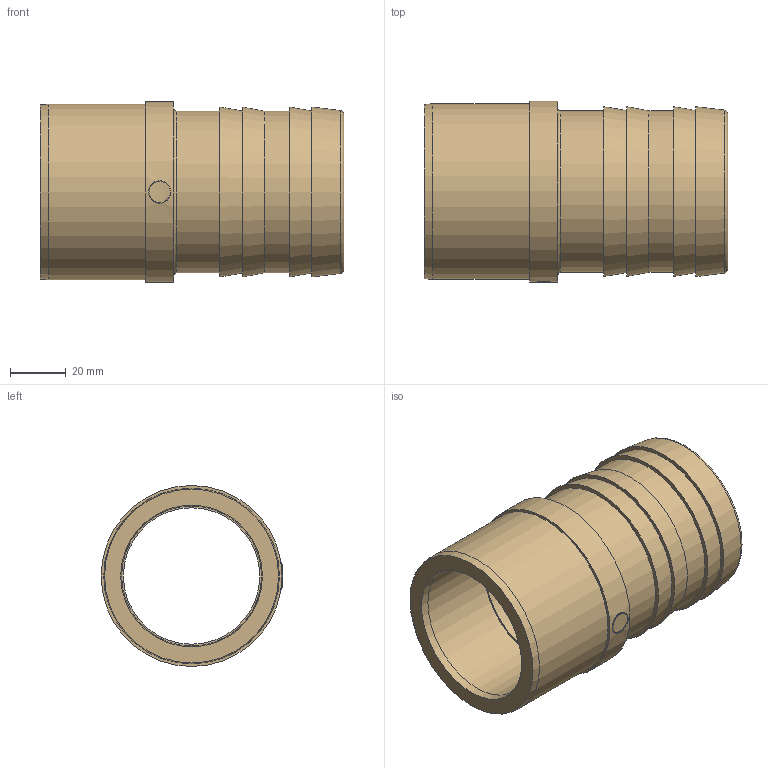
import cadquery as cq
import math

total_length = 109.0

spigot_radius = 63.1 / 2
lead_in_length = 3.0
lead_in_depth = 0.3
spigot_tip_radius = spigot_radius - lead_in_depth

spigot_bore_radius = 50.3 / 2
tail_bore_radius = 49.0 / 2
bore_mouth_radius = spigot_bore_radius + lead_in_depth
bore_step_x = 31.5

collar_start = 37.8
collar_end = 48.0
collar_radius = 65.0 / 2
collar_root_fillet = 1.0

tail_radius = 58.0 / 2
barb_crest_radius = 61.0 / 2
barb_foot_radius = 58.2 / 2
first_barb_start = 64.5
second_barb_start = 72.7
second_barb_end = 80.7
third_barb_start = 89.6
last_barb_start = 97.6
tail_end_fillet = 1.5

rim_outer_diameter = 8.0
rim_inner_diameter = 7.68
rim_height = 0.3
rim_x = (collar_start + collar_end) / 2
rim_embed = 0.5


def make_outside():
    """Solid of revolution about X with the full outer outline."""
    root_fillet_inset = collar_root_fillet * (1 - math.sqrt(0.5))
    root_fillet_end = collar_end + collar_root_fillet
    fillet_top = (collar_end, tail_radius + collar_root_fillet)
    fillet_middle = (collar_end + root_fillet_inset, tail_radius + root_fillet_inset)
    fillet_foot = (root_fillet_end, tail_radius)

    outline = (
        cq.Workplane("XY")
        .moveTo(0, 0)
        .lineTo(0, spigot_tip_radius)
        .lineTo(lead_in_length, spigot_radius)
        .lineTo(collar_start, spigot_radius)
        .lineTo(collar_start, collar_radius)
        .lineTo(collar_end, collar_radius)
        .lineTo(*fillet_top)
        .threePointArc(fillet_middle, fillet_foot)
    )
    barbs = [
        (first_barb_start, second_barb_start, barb_foot_radius),
        (second_barb_start, second_barb_end, tail_radius),
        (third_barb_start, last_barb_start, barb_foot_radius),
        (last_barb_start, total_length, barb_foot_radius),
    ]
    outline_x = root_fillet_end
    for start, end, foot_radius in barbs:
        if start > outline_x:
            outline = outline.lineTo(start, tail_radius)
        outline = outline.lineTo(start, barb_crest_radius).lineTo(end, foot_radius)
        outline_x = end

    body = outline.lineTo(total_length, 0).close().revolve(360, (0, 0, 0), (1, 0, 0))
    return body.faces(">X").edges().fillet(tail_end_fillet)


def make_bore():
    """Through bore, flared at the spigot mouth and stepped partway along."""
    return (
        cq.Workplane("XY")
        .moveTo(0, 0)
        .lineTo(0, bore_mouth_radius)
        .lineTo(lead_in_length, spigot_bore_radius)
        .lineTo(bore_step_x, spigot_bore_radius)
        .lineTo(bore_step_x, tail_bore_radius)
        .lineTo(total_length, tail_bore_radius)
        .lineTo(total_length, 0)
        .close()
        .revolve(360, (0, 0, 0), (1, 0, 0))
    )


def make_rim():
    """Thin ring standing on the collar, its top following the collar's curve."""
    rim_top_radius = collar_radius + rim_height
    rim_root_y = math.sqrt(collar_radius**2 - (rim_outer_diameter / 2) ** 2) - rim_embed
    ring = (
        cq.Workplane("XZ", origin=(rim_x, -rim_root_y, 0))
        .circle(rim_outer_diameter / 2)
        .circle(rim_inner_diameter / 2)
        .extrude(rim_top_radius + rim_height - rim_root_y)
    )
    envelope = (
        cq.Workplane("YZ", origin=(collar_start, 0, 0))
        .circle(rim_top_radius)
        .extrude(collar_end - collar_start)
    )
    return ring.intersect(envelope)


result = make_outside().union(make_rim()).cut(make_bore())